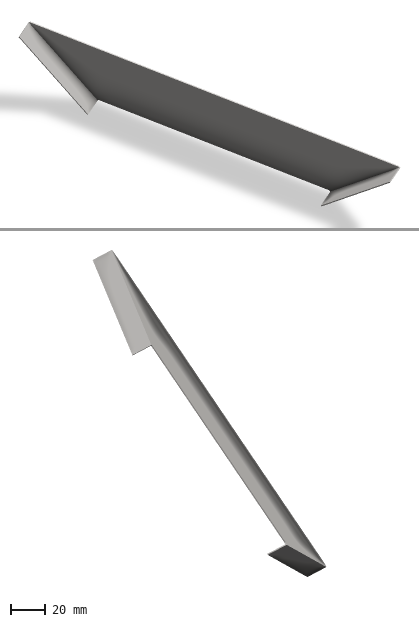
import cadquery as cq
import math

overall_length = 243.5
overall_height = 46.2
plate_height = 45.0
flange_depth = 13.0
thickness = 0.7
slant_angle = math.radians(45)

overhang_z = overall_height - plate_height
overhang = overhang_z / math.cos(slant_angle)
overhang_x = overhang * math.sin(slant_angle)

top_half_length = overall_length / 2 - overhang_x
bottom_half_length = top_half_length - plate_height / math.tan(slant_angle)
slant_length = plate_height / math.sin(slant_angle)


def make_plate():
    """Trapezoidal sheet with its wide edge at Z = 0 and its back face at Y = 0."""
    return (
        cq.Workplane("XZ")
        .moveTo(-top_half_length, 0)
        .lineTo(top_half_length, 0)
        .lineTo(bottom_half_length, -plate_height)
        .lineTo(-bottom_half_length, -plate_height)
        .close()
        .extrude(thickness)
    )


def make_left_flange():
    """L-shaped strip along the left slanted edge, with its long leg toward -Y."""
    section_plane = cq.Plane(
        origin=(-bottom_half_length, 0, -plate_height),
        xDir=(-math.sin(slant_angle), 0, -math.cos(slant_angle)),
        normal=(-math.cos(slant_angle), 0, math.sin(slant_angle)),
    )
    flange_inner = overhang - thickness
    return (
        cq.Workplane(section_plane)
        .moveTo(0, 0)
        .lineTo(overhang, 0)
        .lineTo(overhang, flange_depth)
        .lineTo(flange_inner, flange_depth)
        .lineTo(flange_inner, thickness)
        .lineTo(0, thickness)
        .close()
        .extrude(slant_length)
    )


left_flange = make_left_flange()
right_flange = left_flange.mirror("YZ")
result = make_plate().union(left_flange).union(right_flange)